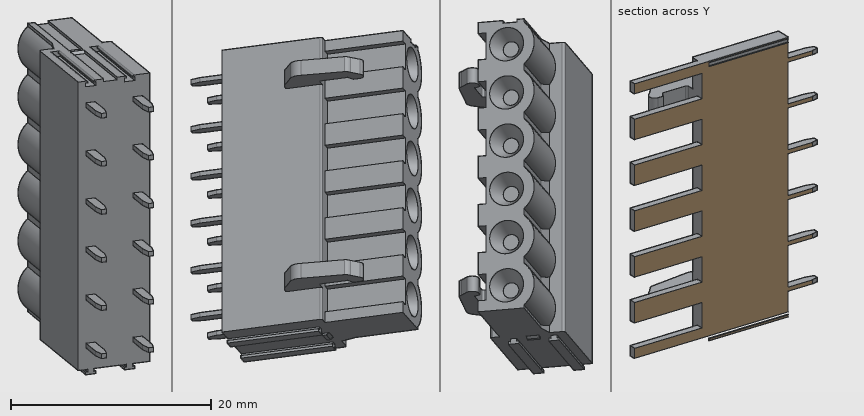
import cadquery as cq
import math

POLES = 6
BODY_HEIGHT = 30.47
PITCH = BODY_HEIGHT / POLES
POLE_HEIGHTS = [PITCH * (pole + 0.5) for pole in range(POLES)]
OVERLAP = 0.3

BLOCK_FRONT = 8.22
BLOCK_BACK = 18.8
BLOCK_DEPTH = 7.73
LOWER_EDGE_RADIUS = 0.3
UPPER_EDGE_RADIUS = 0.22

SOCKET_TOP = 6.75
SOCKET_Y = 3.82
BARREL_RADIUS = 2.85
WEB_FLOOR = 2.02
WEB_RAMP_START = 6.65
WEB_RAMP_FLOOR = 1.58
NOTCH_FLOOR = 5.95
NOTCH_HEIGHT = 2.75
MOUTH_DIAMETER = 3.5
FUNNEL_END_DIAMETER = 1.6
FUNNEL_DEPTH = 1.7

PIN_WIDTH = 1.0
PIN_THICKNESS = 0.5
PIN_END = 22.45
PIN_TAPER_LENGTH = 1.02
PIN_TIP_WIDTH = 0.53
LOWER_PIN_Y = 1.33
PIN_ROWS = [LOWER_PIN_Y, LOWER_PIN_Y + PITCH]

LATCH_WIDTH = 1.6
LATCH_SPACING = 21.95
LATCH_TOP = 10.6
LATCH_BACK = 12.0
LATCH_UNDERSIDE = 8.53
ROOT_RADIUS = 0.22
NOSE_RADIUS = 0.62
NOSE_X = 4.22
NOSE_Y = 8.5
CATCH_FOOT_X = 4.85
CATCH_HEAD_X = 5.2
SHOULDER = [(4.53, 9.7), (4.75, 9.95), (5.03, 10.1)]
CREST = [(9.45, 10.58), (9.85, LATCH_TOP), (10.65, 10.27)]
HEEL = [(11.8, 8.72), (11.95, 8.4), (LATCH_BACK, 8.07)]

RAIL_ROWS = [1.35, 5.55]
RAIL_START = 9.12
RAIL_HEIGHT = 0.55
RAIL_HEAD_HEIGHT = 0.28
RAIL_HEAD_WIDTH = 1.1
RAIL_STEM_WIDTH = 0.65
SLOT_DEPTH = 0.6
SLOT_LIP_HEIGHT = 0.22
SLOT_LIP_RADIUS = 0.15

GROOVE_Y = 3.48
GROOVE_WIDTH = 1.45
GROOVE_DEPTH = 0.28
FRONT_GROOVE_END = 9.37
REAR_GROOVE_START = 9.77
REAR_GROOVE_RAMP = 0.3
RIDGE_START = 8.7
RIDGE_WIDTH = 1.3
RIDGE_HEIGHT = 0.22
RIDGE_RAMP = 0.3


def box(x_range, y_range, z_range):
    """Box between two limits along each axis."""
    size = [high - low for low, high in (x_range, y_range, z_range)]
    return cq.Workplane("XY").box(*size, centered=False).translate((x_range[0], y_range[0], z_range[0]))


def prism_along_y(points, middle, width):
    """Closed X-Z outline spread evenly about a Y position."""
    return cq.Workplane("XZ", origin=(0, middle + width / 2, 0)).polyline(points).close().extrude(width)


def make_block():
    block = box((BLOCK_FRONT, BLOCK_BACK), (0, BLOCK_DEPTH), (0, BODY_HEIGHT))
    block = block.edges("|Z and <X and <Y").fillet(LOWER_EDGE_RADIUS)
    return block.edges("|Z and <X and >Y").fillet(UPPER_EDGE_RADIUS)


def make_socket_section():
    back = BLOCK_FRONT + LOWER_EDGE_RADIUS
    web_outline = [
        (0, SOCKET_TOP),
        (0, WEB_FLOOR),
        (WEB_RAMP_START, WEB_FLOOR),
        (BLOCK_FRONT, WEB_RAMP_FLOOR),
        (back, WEB_RAMP_FLOOR),
        (back, SOCKET_TOP),
    ]
    section = cq.Workplane("XY").polyline(web_outline).close().extrude(BODY_HEIGHT)
    sockets = [(SOCKET_Y, height) for height in POLE_HEIGHTS]
    barrels = cq.Workplane("YZ").pushPoints(sockets).circle(BARREL_RADIUS).extrude(back, combine=False)
    envelope = box((0, back), (0, SOCKET_TOP), (0, BODY_HEIGHT))
    section = section.union(barrels.intersect(envelope))
    for height in POLE_HEIGHTS:
        notch_z = (height - NOTCH_HEIGHT / 2, height + NOTCH_HEIGHT / 2)
        section = section.cut(box((0, BLOCK_FRONT), (NOTCH_FLOOR, SOCKET_TOP), notch_z))
    return section


def make_funnel(height):
    """Conical socket mouth that narrows to the flat contact end."""
    mouth = cq.Workplane("YZ", origin=(0, SOCKET_Y, height)).circle(MOUTH_DIAMETER / 2)
    return mouth.workplane(offset=FUNNEL_DEPTH).circle(FUNNEL_END_DIAMETER / 2).loft(ruled=True)


def make_pin(y, height):
    taper_start = PIN_END - PIN_TAPER_LENGTH
    half_width = PIN_WIDTH / 2
    half_tip = PIN_TIP_WIDTH / 2
    outline = [
        (BLOCK_BACK - OVERLAP, y - half_width),
        (taper_start, y - half_width),
        (PIN_END, y - half_tip),
        (PIN_END, y + half_tip),
        (taper_start, y + half_width),
        (BLOCK_BACK - OVERLAP, y + half_width),
    ]
    plane = cq.Workplane("XY", origin=(0, 0, height - PIN_THICKNESS / 2))
    return plane.polyline(outline).close().extrude(PIN_THICKNESS)


def make_latch(middle):
    """Hook rising from the block's front edge and reaching forward over the sockets."""
    diagonal = NOSE_RADIUS * math.sqrt(0.5)
    nose_bottom = NOSE_Y - NOSE_RADIUS
    root = BLOCK_DEPTH - OVERLAP
    plane = cq.Workplane("XY", origin=(0, 0, middle - LATCH_WIDTH / 2))
    outline = (
        plane.moveTo(BLOCK_FRONT, root)
        .lineTo(BLOCK_FRONT, LATCH_UNDERSIDE - ROOT_RADIUS)
        .radiusArc((BLOCK_FRONT - ROOT_RADIUS, LATCH_UNDERSIDE), -ROOT_RADIUS)
        .lineTo(CATCH_HEAD_X, LATCH_UNDERSIDE)
        .lineTo(CATCH_FOOT_X, nose_bottom)
        .lineTo(NOSE_X, nose_bottom)
        .threePointArc((NOSE_X - NOSE_RADIUS, NOSE_Y), (NOSE_X - diagonal, NOSE_Y + diagonal))
    )
    for start, middle_point, end in (SHOULDER, CREST, HEEL):
        outline = outline.lineTo(*start).threePointArc(middle_point, end)
    outline = outline.lineTo(LATCH_BACK, root).close()
    return outline.extrude(LATCH_WIDTH)


def make_rail(y):
    """T-shaped rail hanging below the body."""
    stem_y = (y - RAIL_STEM_WIDTH / 2, y + RAIL_STEM_WIDTH / 2)
    head_y = (y - RAIL_HEAD_WIDTH / 2, y + RAIL_HEAD_WIDTH / 2)
    stem = box((RAIL_START, BLOCK_BACK), stem_y, (-RAIL_HEIGHT, OVERLAP))
    head = box((RAIL_START, BLOCK_BACK), head_y, (-RAIL_HEIGHT, RAIL_HEAD_HEIGHT - RAIL_HEIGHT))
    return stem.union(head)


def make_slot(y):
    """Undercut slot for a rail, with rounded lips, open at the back."""
    head_y = (y - RAIL_HEAD_WIDTH / 2, y + RAIL_HEAD_WIDTH / 2)
    neck = RAIL_STEM_WIDTH / 2
    mouth = neck + SLOT_LIP_RADIUS
    floor = BODY_HEIGHT - SLOT_DEPTH
    lip = BODY_HEIGHT - SLOT_LIP_HEIGHT
    lip_round = BODY_HEIGHT - SLOT_LIP_RADIUS
    opening = (
        cq.Workplane("YZ", origin=(RAIL_START, 0, 0))
        .moveTo(y - neck, lip)
        .lineTo(y + neck, lip)
        .lineTo(y + neck, lip_round)
        .radiusArc((y + mouth, BODY_HEIGHT), SLOT_LIP_RADIUS)
        .lineTo(y - mouth, BODY_HEIGHT)
        .radiusArc((y - neck, lip_round), SLOT_LIP_RADIUS)
        .close()
        .extrude(BLOCK_BACK - RAIL_START)
    )
    return opening.union(box((RAIL_START, BLOCK_BACK), head_y, (floor, lip)))


def make_snap_grooves():
    """Front groove with a square end and rear groove with a ramped end."""
    floor = BODY_HEIGHT - GROOVE_DEPTH
    groove_y = (GROOVE_Y - GROOVE_WIDTH / 2, GROOVE_Y + GROOVE_WIDTH / 2)
    front = box((0, FRONT_GROOVE_END), groove_y, (floor, BODY_HEIGHT))
    rear_outline = [
        (REAR_GROOVE_START, BODY_HEIGHT),
        (REAR_GROOVE_START + REAR_GROOVE_RAMP, floor),
        (BLOCK_BACK, floor),
        (BLOCK_BACK, BODY_HEIGHT),
    ]
    return front.union(prism_along_y(rear_outline, GROOVE_Y, GROOVE_WIDTH))


def make_snap_ridge():
    """Small ramped ridge under the body that drops into a neighbour's front groove."""
    outline = [
        (RIDGE_START, OVERLAP),
        (RIDGE_START, 0),
        (RIDGE_START + RIDGE_RAMP, -RIDGE_HEIGHT),
        (FRONT_GROOVE_END, -RIDGE_HEIGHT),
        (FRONT_GROOVE_END, OVERLAP),
    ]
    return prism_along_y(outline, GROOVE_Y, RIDGE_WIDTH)


result = make_block().union(make_socket_section())

for side in (-1, 1):
    result = result.union(make_latch(BODY_HEIGHT / 2 + side * LATCH_SPACING / 2))

for pole_height in POLE_HEIGHTS:
    result = result.cut(make_funnel(pole_height))
    for row in PIN_ROWS:
        result = result.union(make_pin(row, pole_height))

for row in RAIL_ROWS:
    result = result.union(make_rail(row)).cut(make_slot(row))

result = result.cut(make_snap_grooves()).union(make_snap_ridge())